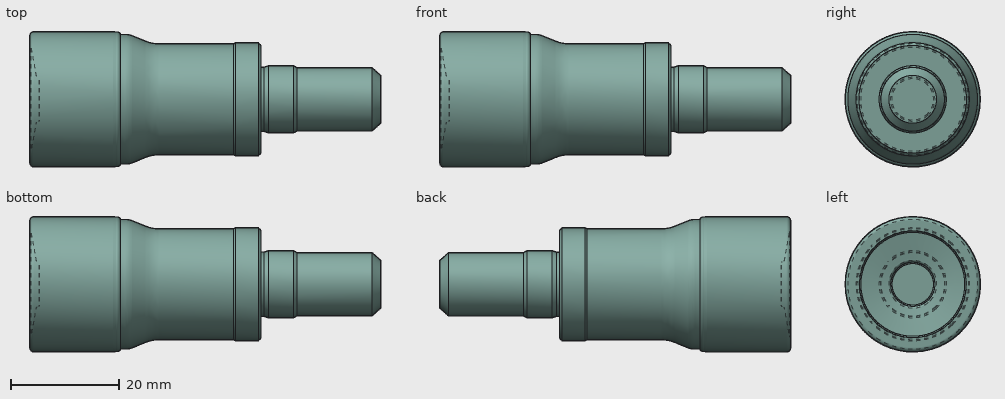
import cadquery as cq
import math

cap_radius = 12.55
cap_length = 16.8
front_round = 0.8
rear_taper_start = 15.45
rear_taper_length = 0.6
rear_taper_drop = 0.05

dish_radius = 9.9
dish_step_radius = 9.6
dish_step_depth = 0.25
recess_radius = 4.6
recess_depth = 1.2
recess_rim_round = 0.5
floor_radius = 3.8
floor_depth = 1.8

shoulder_radius = 24 / 2
shoulder_end = 17.8
flare_cone_start = 18.95
flare_cone_end = 21.5
flare_end = 23.9
barrel_radius = 20.6 / 2

collar_radius = 21.0 / 2
collar_start = 37.75
collar_lead_in = 0.3
collar_end = 42.8
collar_chamfer = 0.5

undercut_radius = 6.0
undercut_end = 43.4
seat_radius = 12.5 / 2
seat_start = 44.15
seat_chamfer_start = 48.85
shank_start = 49.4
shank_radius = 11.75 / 2
overall_length = 64.95
tip_chamfer_length = 1.6
tip_radius = 4.4


def revolve_about_x(profile):
    """Turn a half profile, drawn as (X, radius), into a solid of revolution."""
    return profile.close().revolve(360, (0, 0, 0), (1, 0, 0))


def round_middle(center_x, center_radius, x_reach, radial_reach):
    """Middle point of an edge round with the given reaches along X and the radius."""
    diagonal = math.sqrt(0.5)
    return center_x + x_reach * diagonal, center_radius + radial_reach * diagonal


def make_cap():
    taper_end = rear_taper_start + rear_taper_length
    taper_end_radius = cap_radius - rear_taper_drop
    front_round_middle = round_middle(
        front_round, cap_radius - front_round, -front_round, front_round
    )
    rear_round_middle = round_middle(
        taper_end, shoulder_radius, cap_length - taper_end, taper_end_radius - shoulder_radius
    )
    rim_end = recess_depth + recess_rim_round
    rim_round_middle = round_middle(rim_end, recess_radius, -recess_rim_round, -recess_rim_round)
    profile = (
        cq.Workplane("XY")
        .moveTo(floor_depth, 0)
        .lineTo(floor_depth, floor_radius)
        .lineTo(rim_end, recess_radius - recess_rim_round)
        .threePointArc(rim_round_middle, (recess_depth, recess_radius))
        .lineTo(dish_step_depth, dish_step_radius)
        .lineTo(0, dish_radius)
        .lineTo(0, cap_radius - front_round)
        .threePointArc(front_round_middle, (front_round, cap_radius))
        .lineTo(rear_taper_start, cap_radius)
        .lineTo(taper_end, taper_end_radius)
        .threePointArc(rear_round_middle, (cap_length, shoulder_radius))
        .lineTo(cap_length, 0)
    )
    return revolve_about_x(profile)


def make_spindle():
    crown_length = flare_cone_start - shoulder_end
    cone_length = flare_cone_end - flare_cone_start
    foot_length = flare_end - flare_cone_end
    flare_drop = shoulder_radius - barrel_radius
    flare_slope = flare_drop / (cone_length + (crown_length + foot_length) / 2)
    half_angle = math.atan(flare_slope) / 2
    crown_drop = crown_length * math.tan(half_angle)
    foot_drop = foot_length * math.tan(half_angle)

    profile = (
        cq.Workplane("XY")
        .moveTo(cap_length, 0)
        .lineTo(cap_length, shoulder_radius)
        .lineTo(shoulder_end, shoulder_radius)
        .tangentArcPoint((flare_cone_start, shoulder_radius - crown_drop), relative=False)
        .lineTo(flare_cone_end, barrel_radius + foot_drop)
        .tangentArcPoint((flare_end, barrel_radius), relative=False)
        .lineTo(collar_start, barrel_radius)
        .lineTo(collar_start + collar_lead_in, collar_radius)
        .lineTo(collar_end - collar_chamfer, collar_radius)
        .lineTo(collar_end, collar_radius - collar_chamfer)
        .lineTo(collar_end, undercut_radius)
        .lineTo(undercut_end, undercut_radius)
        .lineTo(seat_start, seat_radius)
        .lineTo(seat_chamfer_start, seat_radius)
        .lineTo(shank_start, shank_radius)
        .lineTo(overall_length - tip_chamfer_length, shank_radius)
        .lineTo(overall_length, tip_radius)
        .lineTo(overall_length, 0)
    )
    return revolve_about_x(profile)


cap = make_cap()
spindle = make_spindle()

result = cq.Compound.makeCompound([cap.val(), spindle.val()])